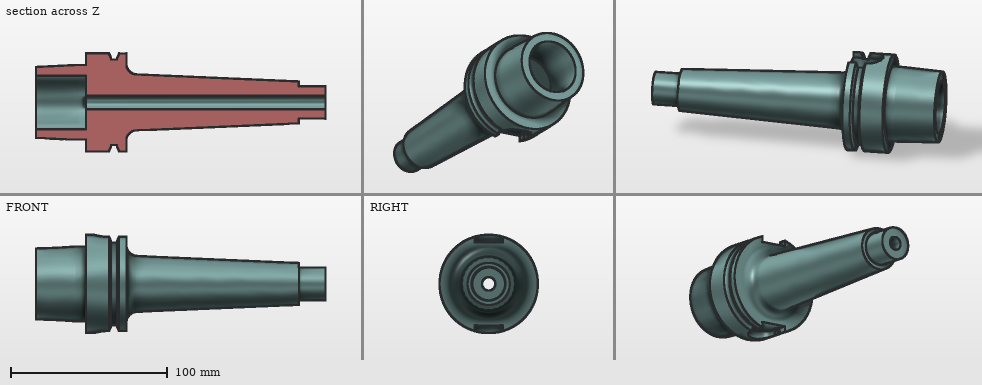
import cadquery as cq
import math


shank_length = 32.0
taper_length = 25.7
taper_small_diameter = 45.5
taper_large_diameter = 48.0

flange_diameter = 63.0
flange_width = 26.0
groove_centre_from_face = 18.0
groove_floor_diameter = 55.0
groove_floor_width = 3.6
groove_mouth_width = 6.4
groove_wall_height = 0.8

overall_length = 185.3
neck_large_diameter = 36.0
neck_small_diameter = 27.0
neck_fillet_radius = 6.5
spigot_diameter = 21.0
spigot_length = 17.2

slot_width = 18.0
slot_end_from_face = 5.0
slot_floor_height = 26.5

shank_bore_diameter = 34.0
shank_bore_depth = shank_length
through_hole_diameter = 8.4

flange_end = shank_length + flange_width
groove_centre = shank_length + groove_centre_from_face
neck_start = flange_end + neck_fillet_radius
neck_end = overall_length - spigot_length


def revolve_about_x(profile):
    return profile.close().revolve(360, (0, 0, 0), (1, 0, 0))


def make_shank_and_flange():
    flange_radius = flange_diameter / 2
    return revolve_about_x(
        cq.Workplane("XY")
        .lineTo(0, taper_small_diameter / 2)
        .lineTo(taper_length, taper_large_diameter / 2)
        .lineTo(shank_length, taper_large_diameter / 2)
        .lineTo(shank_length, flange_radius)
        .lineTo(flange_end, flange_radius)
        .lineTo(flange_end, 0)
    )


def make_neck_and_spigot():
    neck_radius = neck_large_diameter / 2
    arc_offset = neck_fillet_radius * (1 - math.sqrt(0.5))
    fillet_middle = (flange_end + arc_offset, neck_radius + arc_offset)
    return revolve_about_x(
        cq.Workplane("XY")
        .moveTo(flange_end, 0)
        .lineTo(flange_end, neck_radius + neck_fillet_radius)
        .threePointArc(fillet_middle, (neck_start, neck_radius))
        .lineTo(neck_end, neck_small_diameter / 2)
        .lineTo(neck_end, spigot_diameter / 2)
        .lineTo(overall_length, spigot_diameter / 2)
        .lineTo(overall_length, 0)
    )


def make_gripper_groove():
    floor_radius = groove_floor_diameter / 2
    wall_top_radius = floor_radius + groove_wall_height
    mouth_radius = flange_diameter / 2
    half_floor = groove_floor_width / 2
    half_mouth = groove_mouth_width / 2
    return revolve_about_x(
        cq.Workplane("XY")
        .moveTo(groove_centre - half_floor, floor_radius)
        .lineTo(groove_centre - half_floor, wall_top_radius)
        .lineTo(groove_centre - half_mouth, mouth_radius)
        .lineTo(groove_centre + half_mouth, mouth_radius)
        .lineTo(groove_centre + half_floor, wall_top_radius)
        .lineTo(groove_centre + half_floor, floor_radius)
    )


def make_drive_slot():
    """Round-ended slot above the +Z side, open through the flange's neck face."""
    slot_end = shank_length + slot_end_from_face
    half_width = slot_width / 2
    round_centre = slot_end + half_width
    slot_height = flange_diameter / 2 - slot_floor_height
    return (
        cq.Workplane("XY", origin=(0, 0, slot_floor_height))
        .moveTo(flange_end, -half_width)
        .lineTo(round_centre, -half_width)
        .threePointArc((slot_end, 0), (round_centre, half_width))
        .lineTo(flange_end, half_width)
        .close()
        .extrude(slot_height)
    )


def make_bore(diameter, depth):
    return cq.Workplane("YZ").circle(diameter / 2).extrude(depth)


result = make_shank_and_flange().union(make_neck_and_spigot())
result = result.cut(make_gripper_groove())
for slot_angle in (0, 180):
    result = result.cut(make_drive_slot().rotate((0, 0, 0), (1, 0, 0), slot_angle))
result = result.cut(make_bore(shank_bore_diameter, shank_bore_depth))
result = result.cut(make_bore(through_hole_diameter, overall_length))